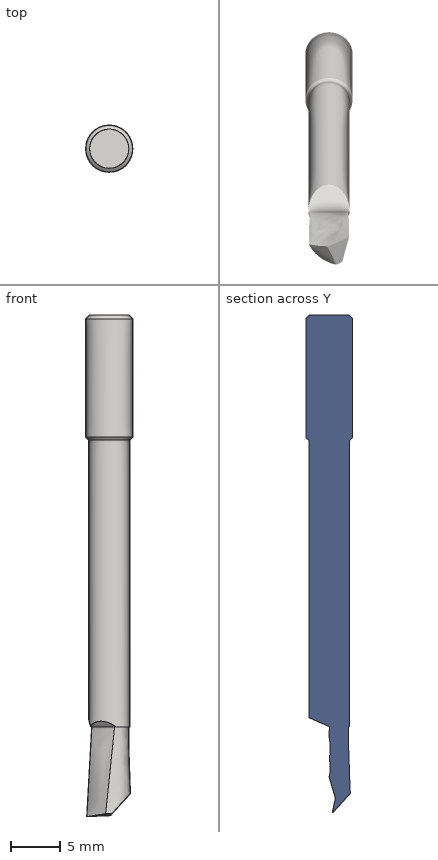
import cadquery as cq
import math

total_length = 50.8
shank_radius = 2.4
shank_bottom = 38.0
shank_chamfer = 0.4
neck_radius = 2.1
tip_length = 9.1

tip_end_radius = 2.3
tip_root_radius = 2.0
tip_twist = 26
rake_start_angle = 180
flank_start_angle = 260
outer_end_angle = 360

end_relief_slope_x = 0.04
end_relief_slope_y = 0.1
corner_relief_x = 0.2
corner_relief_z = 0.2
corner_relief_slope = 1.1
cutter_size = 10.15


def polar_point(radius, angle):
    """Point on a circle about the tool axis; the angle is in degrees."""
    return (radius * math.cos(math.radians(angle)), radius * math.sin(math.radians(angle)))


def make_shank():
    height = total_length - shank_bottom
    shank = cq.Workplane("XY").workplane(offset=shank_bottom).circle(shank_radius).extrude(height)
    return shank.faces("<Z or >Z").chamfer(shank_chamfer)


def make_runout(distance, angle):
    """Wedge below a 45 degree ramp that rises outwards from the tip root, facing the given angle."""
    direction = (*polar_point(1, angle), 0)
    sideways = (*polar_point(1, angle - 90), 0)
    ramp_plane = cq.Plane(origin=(0, 0, tip_length), xDir=direction, normal=sideways)
    triangle = cq.Workplane(ramp_plane).polyline(
        [(distance, 0), (distance + cutter_size, 0), (distance + cutter_size, cutter_size)]
    )
    return triangle.close().extrude(cutter_size, both=True)


def make_neck():
    neck = cq.Workplane("XY").workplane(offset=tip_length).circle(neck_radius)
    neck = neck.extrude(shank_bottom + shank_chamfer - tip_length)
    rake_angle = outer_end_angle + tip_twist + 90
    flank_angle = (rake_start_angle + flank_start_angle) / 2 + tip_twist
    half_flank = math.radians((flank_start_angle - rake_start_angle) / 2)
    flank_distance = tip_root_radius * math.cos(half_flank)
    return neck.cut(make_runout(0, rake_angle)).cut(make_runout(flank_distance, flank_angle))


def tip_section(height, radius, twist):
    """Flat rake face, flat flank and round back, turned by the twist angle."""
    back_middle_angle = (flank_start_angle + outer_end_angle) / 2
    section = cq.Workplane("XY").workplane(offset=height)
    section = section.moveTo(*polar_point(radius, rake_start_angle + twist))
    section = section.lineTo(*polar_point(radius, flank_start_angle + twist))
    section = section.threePointArc(
        polar_point(radius, back_middle_angle + twist), polar_point(radius, outer_end_angle + twist)
    )
    return section.close().val()


def make_tip():
    end_section = tip_section(0, tip_end_radius, 0)
    root_section = tip_section(tip_length, tip_root_radius, tip_twist)
    tip = cq.Workplane(cq.Solid.makeLoft([end_section, root_section], True))

    end_normal = (-end_relief_slope_x, end_relief_slope_y, 1)
    end_plane = cq.Plane(origin=(-tip_end_radius, 0, 0), xDir=(1, 0, end_relief_slope_x), normal=end_normal)
    end_cutter = cq.Workplane(end_plane).rect(cutter_size, cutter_size).extrude(-cutter_size)

    corner_height = corner_relief_slope * cutter_size
    corner_cutter = cq.Workplane("XZ").polyline(
        [
            (corner_relief_x, corner_relief_z),
            (corner_relief_x + cutter_size, corner_relief_z + corner_height),
            (corner_relief_x + cutter_size, -corner_height),
            (corner_relief_x, -corner_height),
        ]
    )
    corner_cutter = corner_cutter.close().extrude(cutter_size, both=True)
    return tip.cut(end_cutter).cut(corner_cutter)


result = make_shank().union(make_neck()).union(make_tip())